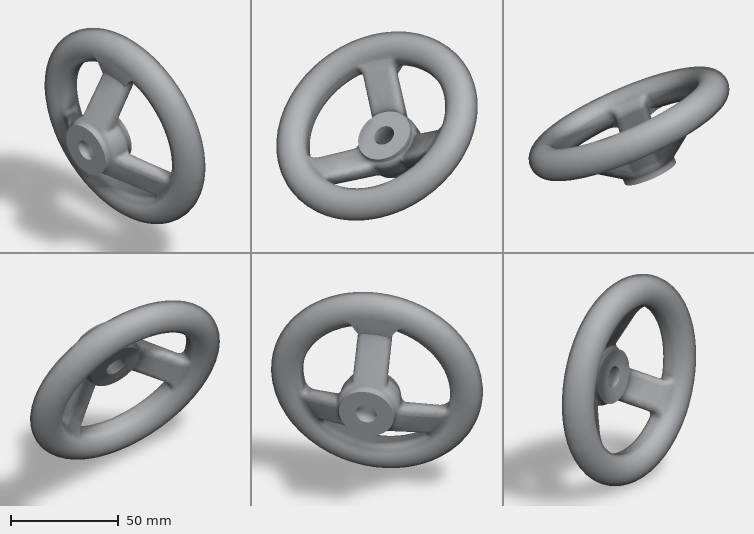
import cadquery as cq
import math


rim_tube_radius = 7.5
rim_outer_radius = 50.0
rim_centre_radius = rim_outer_radius - rim_tube_radius
rim_front = -rim_tube_radius

hub_radius = 13.0
bore_radius = 5.0
overall_depth = 33.0
hub_length = 17.0
hub_front = rim_tube_radius - overall_depth
hub_rear = hub_front + hub_length

dish_front_slope = 0.75
dish_rear_slope = 0.68
dish_front_radius = 33.0
dish_rear_radius = 20.2
dish_hub_front_fillet = 2.0
dish_hub_rear_fillet = 1.0
dish_rim_fillet = 3.0

spoke_count = 3
spoke_pitch = 360.0 / spoke_count
spoke_half_width = 8.0
window_inner_radius = 14.5
window_outer_radius = 35.2
window_corner_radius = 2.0
window_edge_fillet = 3.0

pad_root = (7.1, 31.5)
pad_flare = (11.0, 37.3)
pad_bend = (13.4, 38.9)
pad_tip_half_width = 16.4
pad_depth = 6.0


def cone_y(radius, slope, radius_at_rim_front):
    """Y of a dish cone at the given radius."""
    return rim_front + slope * (radius - radius_at_rim_front)


def cone_meets_rim(slope, radius_at_rim_front):
    """(radius, y) where a dish cone first meets the rim tube on its way outward."""
    angle = math.atan(slope)
    distance_to_tube_centre = cone_y(rim_centre_radius, slope, radius_at_rim_front) * math.cos(angle)
    half_chord = math.sqrt(rim_tube_radius**2 - distance_to_tube_centre**2)
    radius = (
        rim_centre_radius
        - distance_to_tube_centre * math.sin(angle)
        - half_chord * math.cos(angle)
    )
    return radius, cone_y(radius, slope, radius_at_rim_front)


def root_fillet(root, cone_angle, side, radius):
    """Start, middle and end of the profile arc from the hub wall onto a dish cone.

    side is +1 behind the dish and -1 in front of it.
    """
    turn = math.pi / 2 + side * cone_angle
    setback = radius * math.tan(turn / 2)
    start = (root[0], root[1] + side * setback)
    centre = (start[0] + radius, start[1])
    middle = (
        centre[0] - radius * math.cos(turn / 2),
        centre[1] - side * radius * math.sin(turn / 2),
    )
    end = (root[0] + setback * math.cos(cone_angle), root[1] + setback * math.sin(cone_angle))
    return start, middle, end


def make_sector_blank():
    """Rim, unbroken dish and hub over one spoke pitch, centred on -Z."""
    front_root = (hub_radius, cone_y(hub_radius, dish_front_slope, dish_front_radius))
    rear_root = (hub_radius, cone_y(hub_radius, dish_rear_slope, dish_rear_radius))
    front_rim_point = cone_meets_rim(dish_front_slope, dish_front_radius)
    rear_rim_point = cone_meets_rim(dish_rear_slope, dish_rear_radius)
    rear_fillet = root_fillet(rear_root, math.atan(dish_rear_slope), 1, dish_hub_rear_fillet)
    front_fillet = root_fillet(front_root, math.atan(dish_front_slope), -1, dish_hub_front_fillet)[::-1]

    blank = (
        cq.Workplane("XY")
        .moveTo(bore_radius, hub_rear)
        .lineTo(hub_radius, hub_rear)
        .lineTo(*rear_fillet[0])
        .threePointArc(*rear_fillet[1:])
        .lineTo(*rear_rim_point)
        .threePointArc((rim_outer_radius, 0), front_rim_point)
        .lineTo(*front_fillet[0])
        .threePointArc(*front_fillet[1:])
        .lineTo(hub_radius, hub_front)
        .lineTo(bore_radius, hub_front)
        .close()
        .revolve(spoke_pitch, (0, 0, 0), (0, 1, 0))
        .rotate((0, 0, 0), (0, 1, 0), 90.0 - spoke_pitch / 2)
    )
    blank = fillet_ring(blank, front_rim_point, dish_rim_fillet)
    return fillet_ring(blank, rear_rim_point, dish_rim_fillet)


def fillet_ring(solid, profile_point, radius):
    """Fillet the circular edge swept by one (radius, y) point of the profile."""
    margin = 0.01
    reach = profile_point[0] + margin
    y = profile_point[1]
    ring = cq.selectors.BoxSelector(
        (-reach, y - margin, -reach), (reach, y + margin, reach), boundingbox=True
    )
    return solid.edges(ring).fillet(radius)


def make_window():
    """Cutter for the window that lies symmetrically below the hub."""
    ring = (
        cq.Workplane("XZ", origin=(0, hub_front, 0))
        .circle(window_outer_radius)
        .circle(window_inner_radius)
        .extrude(-overall_depth)
    )
    half_pitch = math.radians(spoke_pitch / 2)
    apex = (0, -spoke_half_width / math.sin(half_pitch))
    reach = 2 * rim_outer_radius
    wedge_half_width = reach * math.sin(half_pitch)
    wedge_end = apex[1] - reach * math.cos(half_pitch)
    wedge = (
        cq.Workplane("XZ", origin=(0, hub_front, 0))
        .polyline([apex, (wedge_half_width, wedge_end), (-wedge_half_width, wedge_end)])
        .close()
        .extrude(-overall_depth)
    )
    return ring.intersect(wedge).edges("|Y").fillet(window_corner_radius)


def is_window_edge(edge):
    """True for the edges where the walls of the lower window meet the front and rear of the dish."""
    margin = 0.1
    middle = edge.positionAt(0.5)
    radius = math.hypot(middle.x, middle.z)
    angle_to_spoke = math.radians(spoke_pitch / 2) - abs(math.atan2(middle.x, -middle.z))
    inside_rings = window_inner_radius - margin < radius < window_outer_radius + margin
    outside_spokes = radius * math.sin(angle_to_spoke) > spoke_half_width - margin
    along_axis = abs(edge.tangentAt(0.5).y) > 1.0 - 1e-6
    return inside_rings and outside_spokes and not along_axis


def make_sector():
    """One third of the wheel: a rounded window between two half spokes."""
    sector = make_sector_blank().cut(make_window())
    return sector.edges().filter(is_window_edge).fillet(window_edge_fillet)


def make_wheel():
    sector = make_sector()
    wheel = sector
    for index in range(1, spoke_count):
        wheel = wheel.union(sector.rotate((0, 0, 0), (0, 1, 0), index * spoke_pitch))
    return wheel


def make_pad():
    """Flat-fronted web that widens from the top spoke into the rim."""
    pad_tip_height = math.sqrt(rim_centre_radius**2 - pad_tip_half_width**2)
    return (
        cq.Workplane("XZ", origin=(0, rim_front, 0))
        .moveTo(*pad_root)
        .lineTo(*pad_flare)
        .threePointArc(pad_bend, (pad_tip_half_width, pad_tip_height))
        .threePointArc((0, rim_centre_radius), (-pad_tip_half_width, pad_tip_height))
        .threePointArc((-pad_bend[0], pad_bend[1]), (-pad_flare[0], pad_flare[1]))
        .lineTo(-pad_root[0], pad_root[1])
        .close()
        .extrude(-pad_depth)
    )


result = make_wheel().union(make_pad())